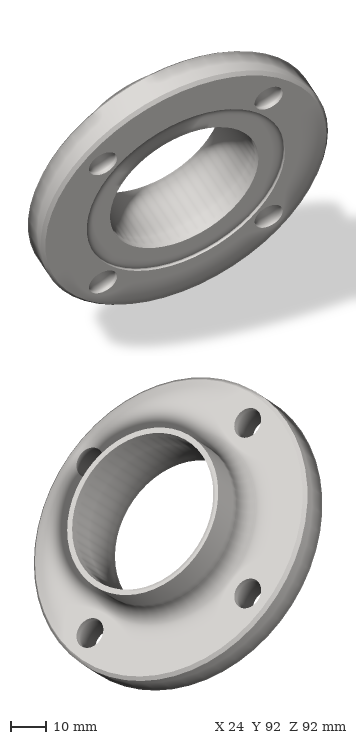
import cadquery as cq

flange_diameter = 92
flange_thickness = 10.0
overall_length = 24.0
hub_diameter = 50.8
bore_diameter = 47.5
hub_fillet = 4.0
rim_chamfer = 1.0

recess_diameter = 63.5
recess_depth = 1.0

bolt_count = 4
bolt_hole_diameter = 9.0
bolt_circle_diameter = 75.0
first_bolt_angle = 45

hub_radius = hub_diameter / 2
flange_radius = flange_diameter / 2
flange_face_x = overall_length - flange_thickness


def make_body():
    """Hub and flange blank, with a concave round where they meet."""
    blend_start = (flange_face_x - hub_fillet, hub_radius)
    profile = (
        cq.Workplane("XY")
        .moveTo(0, 0)
        .lineTo(0, hub_radius)
        .lineTo(*blend_start)
        .radiusArc((flange_face_x, hub_radius + hub_fillet), -hub_fillet)
        .lineTo(flange_face_x, flange_radius - rim_chamfer)
        .lineTo(flange_face_x + rim_chamfer, flange_radius)
        .lineTo(overall_length - rim_chamfer, flange_radius)
        .lineTo(overall_length, flange_radius - rim_chamfer)
        .lineTo(overall_length, 0)
        .close()
    )
    return profile.revolve(360, (0, 0, 0), (1, 0, 0))


def make_bore():
    """Straight bore through hub and flange."""
    return cq.Workplane("YZ").circle(bore_diameter / 2).extrude(overall_length)


def make_recess():
    """Round recess around the bore, sunk into the back (+X) face."""
    recess_floor = cq.Workplane("YZ").workplane(offset=overall_length - recess_depth)
    return recess_floor.circle(recess_diameter / 2).extrude(recess_depth)


def make_bolt_holes():
    """Plain through holes, equally spaced on the bolt circle."""
    return (
        cq.Workplane("YZ")
        .polarArray(bolt_circle_diameter / 2, first_bolt_angle, 360, bolt_count)
        .circle(bolt_hole_diameter / 2)
        .extrude(overall_length)
    )


result = make_body().cut(make_bore()).cut(make_recess()).cut(make_bolt_holes())